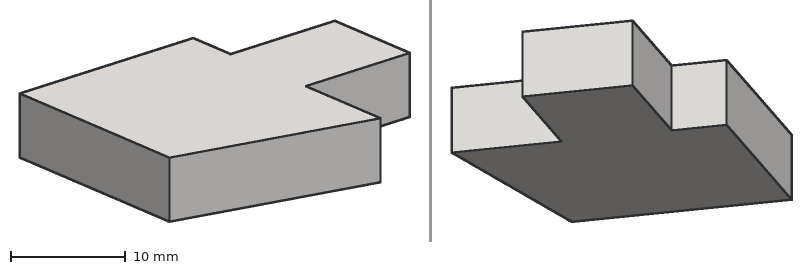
import cadquery as cq

total_length = 32.0
thickness = 6.0
body_length = 20.0
body_front_width = 20.0
body_back_width = 25.0
tang_width = 10.0
tang_offset = 5.0

tang_right = tang_offset + tang_width

outline = [
    (0, 0),
    (body_front_width, 0),
    (body_back_width, body_length),
    (tang_right, body_length),
    (tang_right, total_length),
    (tang_offset, total_length),
    (tang_offset, body_length),
    (0, body_length),
]

result = cq.Workplane("XY").polyline(outline).close().extrude(thickness)